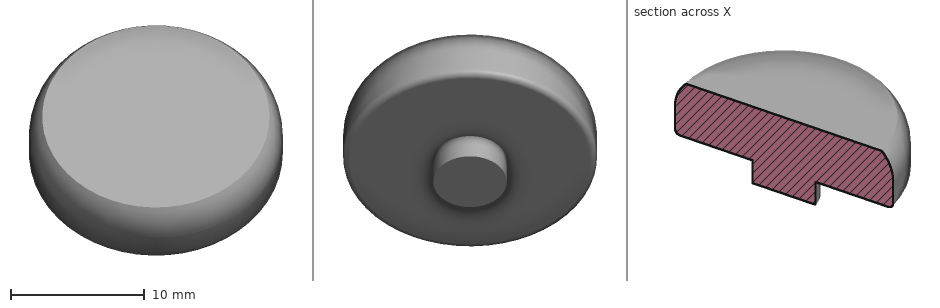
import cadquery as cq
import math

cap_diameter = 19.0
top_face_diameter = 17.0
cap_height = 5.0
shoulder_radius = 3.5
bottom_fillet = 0.5
post_diameter = 5.5
post_length = 2.1

cap_radius = cap_diameter / 2
top_face_radius = top_face_diameter / 2
cap_bottom = post_length
cap_top = cap_bottom + cap_height

shoulder_center_x = cap_radius - shoulder_radius
shoulder_height = math.sqrt(shoulder_radius**2 - (top_face_radius - shoulder_center_x) ** 2)
wall_top = cap_top - shoulder_height


def shoulder_midpoint():
    """Point halfway along the shoulder arc, as (radius, height)."""
    half_angle = math.asin(shoulder_height / shoulder_radius) / 2
    return (
        shoulder_center_x + shoulder_radius * math.cos(half_angle),
        wall_top + shoulder_radius * math.sin(half_angle),
    )


def make_cap():
    """Round cap: straight wall, arched shoulder and rounded bottom edge."""
    profile = (
        cq.Workplane("XZ")
        .moveTo(0, cap_bottom)
        .lineTo(cap_radius, cap_bottom)
        .lineTo(cap_radius, wall_top)
        .threePointArc(shoulder_midpoint(), (top_face_radius, cap_top))
        .lineTo(0, cap_top)
        .close()
    )
    cap = profile.revolve(360, (0, 0, 0), (0, 1, 0))
    return cap.faces("<Z").edges().fillet(bottom_fillet)


def make_post():
    """Plain cylindrical post below the cap."""
    return cq.Workplane("XY").circle(post_diameter / 2).extrude(cap_bottom)


result = make_cap().union(make_post())